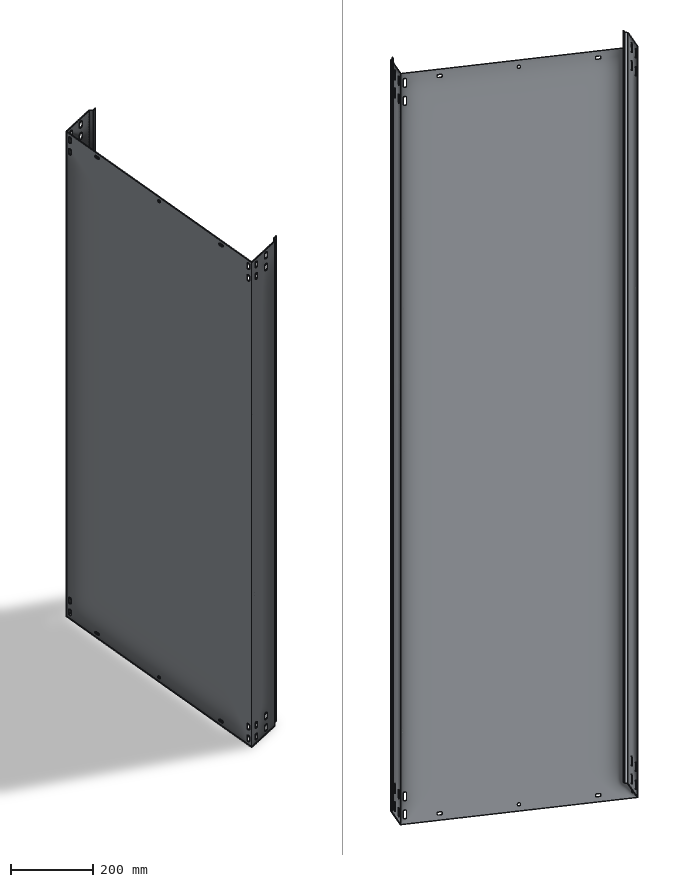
import cadquery as cq
import math

width = 600.0
depth = 100.0
height = 2000.0
sheet = 2.0

lip_inset = 7.0
lip_length = 7.5
joggle_length = 5.0

first_row_offset = 25.0
row_spacing = 48.0
narrow_slot_length = 25.0
narrow_slot_width = 8.0
wide_slot_length = 25.0
wide_slot_width = 10.0
panel_slot_inset = 12.0
narrow_slot_distance = 18.0
wide_slot_distance = 55.0

fixing_offset = 18.0
fixing_diameter = 8.0
fixing_slot_length = 15.0
fixing_slot_spacing = 400.0

half_width = width / 2
half_height = height / 2
front_y = -depth / 2
rear_y = depth / 2
row_offsets = (first_row_offset, first_row_offset + row_spacing)
row_heights = [end * (half_height - offset) for end in (-1, 1) for offset in row_offsets]
fixing_heights = [end * (half_height - fixing_offset) for end in (-1, 1)]


def channel():
    """Front panel with two side flanges, each ending in an inset lip."""
    lip_y = rear_y - lip_length
    joggle_y = lip_y - joggle_length
    bend_shift = sheet * math.tan(math.atan2(lip_inset, joggle_length) / 2)
    outer_x = -half_width
    lip_x = outer_x + lip_inset
    left_flange = [
        (outer_x, front_y),
        (outer_x, joggle_y),
        (lip_x, lip_y),
        (lip_x, rear_y),
        (lip_x + sheet, rear_y),
        (lip_x + sheet, lip_y - bend_shift),
        (outer_x + sheet, joggle_y - bend_shift),
        (outer_x + sheet, front_y + sheet),
    ]
    right_flange = [(-x, y) for x, y in reversed(left_flange)]
    profile = cq.Workplane("XY").polyline(left_flange + right_flange).close()
    return profile.extrude(half_height, both=True)


def panel_sketch(points):
    """Points (x, z) on the outer face of the front panel."""
    return cq.Workplane("XZ", origin=(0, front_y, 0)).pushPoints(points)


def panel_slots():
    """Narrow upright slots beside both edges of the front panel."""
    slot_x = half_width - panel_slot_inset
    points = [(side * slot_x, z) for side in (-1, 1) for z in row_heights]
    slots = panel_sketch(points).slot2D(narrow_slot_length, narrow_slot_width, 90)
    return slots.extrude(sheet, both=True)


def flange_slots(distance, slot_length, slot_width):
    """One column of upright slots through both flanges."""
    points = [(front_y + distance, z) for z in row_heights]
    slots = cq.Workplane("YZ").pushPoints(points).slot2D(slot_length, slot_width, 90)
    return slots.extrude(half_width, both=True)


def fixing_holes():
    """Round holes at mid-width of the front panel."""
    points = [(0, z) for z in fixing_heights]
    return panel_sketch(points).circle(fixing_diameter / 2).extrude(sheet, both=True)


def fixing_slots():
    """Crosswise slots on either side of the round fixing holes."""
    slot_x = fixing_slot_spacing / 2
    points = [(side * slot_x, z) for side in (-1, 1) for z in fixing_heights]
    slots = panel_sketch(points).slot2D(fixing_slot_length, fixing_diameter)
    return slots.extrude(sheet, both=True)


result = (
    channel()
    .cut(panel_slots())
    .cut(flange_slots(narrow_slot_distance, narrow_slot_length, narrow_slot_width))
    .cut(flange_slots(wide_slot_distance, wide_slot_length, wide_slot_width))
    .cut(fixing_holes())
    .cut(fixing_slots())
)